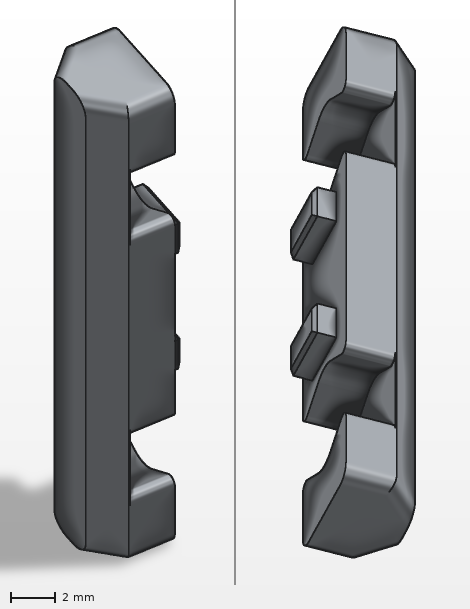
import cadquery as cq
import math

LENGTH = 28.0
WIDTH = 5.6
BODY_DEPTH = 3.9
FRONT_BEVEL = 1.43
END_RADIUS = 0.78

NOTCH_DEPTH = 2.38
NOTCH_INNER_Z = 6.13
NOTCH_OUTER_Z = 9.97
NOTCH_SLOPE_ANGLE = 30.0
MOUTH_RADIUS = 0.4
VALLEY_DIAMETER = 3.1
VALLEY_RADIUS = VALLEY_DIAMETER / 2

PEG_WIDTH = 3.1
PEG_HEIGHT = 1.8
PEG_PROJECTION = 1.12
PEG_CHAMFER = 0.2
PEG_OFFSET_Z = 3.58

SIDES = (-1, 1)


def make_body():
    """Bar with a bevelled front, rounded where its ends meet the sides and bevels."""
    half_width = WIDTH / 2
    half_front = half_width - FRONT_BEVEL
    bevel_start_y = FRONT_BEVEL - BODY_DEPTH
    outline = [
        (-half_width, 0),
        (-half_width, bevel_start_y),
        (-half_front, -BODY_DEPTH),
        (half_front, -BODY_DEPTH),
        (half_width, bevel_start_y),
        (half_width, 0),
    ]
    bar = cq.Workplane("XY").polyline(outline).close().extrude(LENGTH / 2, both=True)
    rounded_edges = bar.faces("|Z").edges("not |X")
    return rounded_edges.fillet(END_RADIUS)


def make_notch(side):
    """Cutter for a notch that deepens towards the middle as a rounded V, with rounded side mouths."""
    centre_z = side * (NOTCH_INNER_Z + NOTCH_OUTER_Z) / 2
    half_width = WIDTH / 2
    half_mouth = (NOTCH_OUTER_Z - NOTCH_INNER_Z) / 2
    slope = math.radians(NOTCH_SLOPE_ANGLE)

    mouth_z = half_mouth + MOUTH_RADIUS
    wall_x = half_width - MOUTH_RADIUS * (1 + math.sin(slope))
    wall_z = mouth_z - MOUTH_RADIUS * math.cos(slope)

    valley_x = VALLEY_RADIUS * math.sin(slope)
    valley_z = wall_z + (wall_x - valley_x) * math.tan(slope)
    valley_peak_z = valley_z + VALLEY_RADIUS * (1 - math.cos(slope))

    return (
        cq.Workplane("XZ", origin=(0, 0, centre_z))
        .moveTo(-half_width, mouth_z)
        .radiusArc((-wall_x, wall_z), -MOUTH_RADIUS)
        .lineTo(-valley_x, valley_z)
        .threePointArc((0, valley_peak_z), (valley_x, valley_z))
        .lineTo(wall_x, wall_z)
        .radiusArc((half_width, mouth_z), -MOUTH_RADIUS)
        .lineTo(half_width, -mouth_z)
        .radiusArc((wall_x, -wall_z), -MOUTH_RADIUS)
        .lineTo(valley_x, -valley_z)
        .threePointArc((0, -valley_peak_z), (-valley_x, -valley_z))
        .lineTo(-wall_x, -wall_z)
        .radiusArc((-half_width, -mouth_z), -MOUTH_RADIUS)
        .close()
        .extrude(NOTCH_DEPTH)
    )


def make_peg(side):
    """Rectangular peg standing off the back face, chamfered around its tip."""
    return (
        cq.Workplane("XZ", origin=(0, 0, side * PEG_OFFSET_Z))
        .rect(PEG_WIDTH, PEG_HEIGHT)
        .extrude(-PEG_PROJECTION)
        .faces(">Y")
        .chamfer(PEG_CHAMFER)
    )


result = make_body()
for side in SIDES:
    result = result.cut(make_notch(side)).union(make_peg(side))